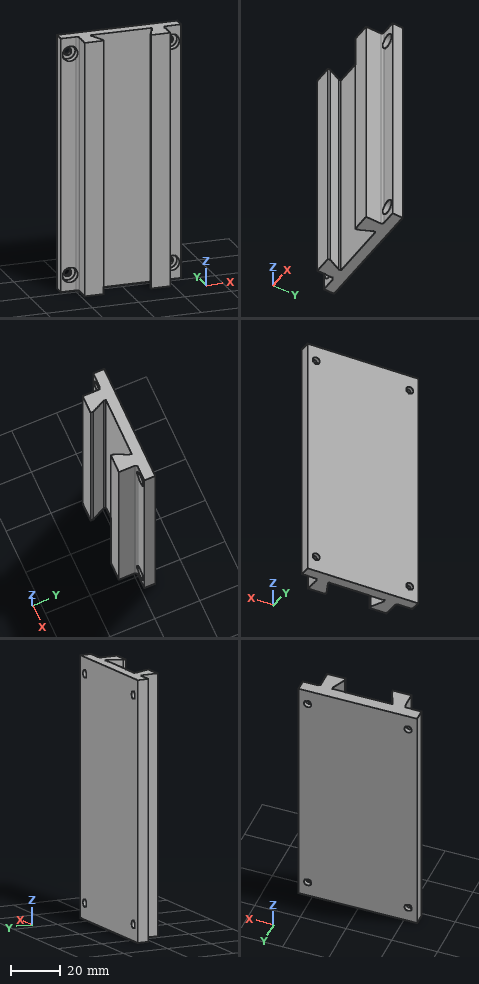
import cadquery as cq

length = 110.0
width = 52.0
depth = 13.0

plate_thickness = 5.0
rail_outer_half = 18.5
mouth_half = 10.3
root_half = 13.1
tip_land = 1.2
root_land = 1.0
rail_fillet = 1.0

hole_diameter = 3.2
counterbore_diameter = 6.4
counterbore_depth = 3.0
hole_spacing_x = 44.0
hole_spacing_z = 95.9

tip_y = -depth / 2
back_y = depth / 2
plate_front_y = back_y - plate_thickness


def make_plate():
    return cq.Workplane("XY").box(width, plate_thickness, length).translate(
        (0, back_y - plate_thickness / 2, 0)
    )


def make_rail():
    """Right-hand rail, with an undercut inner flank and a filleted outer root."""
    outline = (
        cq.Workplane("XY", origin=(0, 0, -length / 2))
        .moveTo(mouth_half, tip_y)
        .lineTo(rail_outer_half, tip_y)
        .lineTo(rail_outer_half, plate_front_y - rail_fillet)
        .radiusArc((rail_outer_half + rail_fillet, plate_front_y), rail_fillet)
        .lineTo(rail_outer_half + rail_fillet, back_y)
        .lineTo(root_half, back_y)
        .lineTo(root_half, plate_front_y - root_land)
        .lineTo(mouth_half, tip_y + tip_land)
        .close()
    )
    return outline.extrude(length)


def make_hole_cutter():
    """Four through holes with counterbores that also clear the rail fillets."""
    face = cq.Workplane("XZ", origin=(0, back_y, 0)).rarray(hole_spacing_x, hole_spacing_z, 2, 2)
    through = face.circle(hole_diameter / 2).extrude(depth)
    counterbore = (
        cq.Workplane("XZ", origin=(0, plate_front_y + counterbore_depth, 0))
        .rarray(hole_spacing_x, hole_spacing_z, 2, 2)
        .circle(counterbore_diameter / 2)
        .extrude(counterbore_depth + rail_fillet)
    )
    return through.union(counterbore)


right_rail = make_rail()
left_rail = right_rail.mirror("YZ")
result = make_plate().union(right_rail).union(left_rail).cut(make_hole_cutter()).clean()